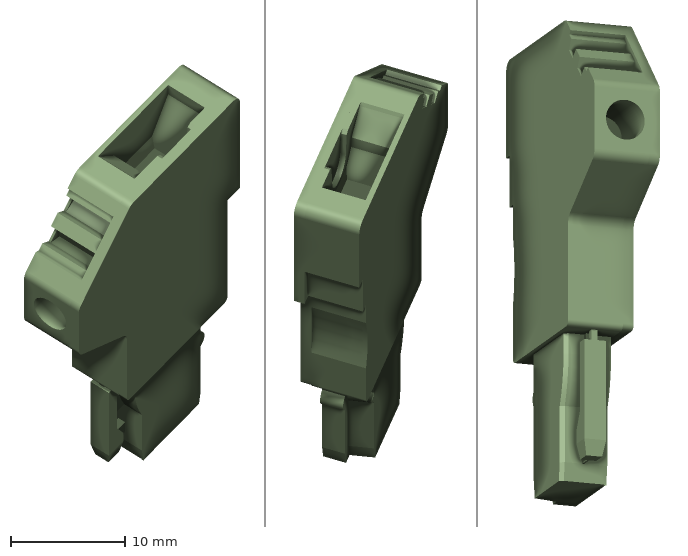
import cadquery as cq
import math


housing_thickness = 5.1
cover_thickness = 1.0
depth = 22.9
height = 27.83
corner_radius = 1.0
bottom_radius = 0.5
cover_bottom_gap = 0.1

neck_front = 6.82
neck_back = 21.14
nose_top = 20.4
nose_bottom = 13.72
underside_angle = 30.0
slope_top = height - nose_top
neck_top = nose_bottom - neck_front * math.tan(math.radians(underside_angle))
head_bottom = 14.43
back_step = 21.95
back_step_top = 19.12

scoop_center = 8.45
scoop_half_length = 3.3
scoop_depth = 0.4

grip_start = 1.78
grip_length = 6.4
grip_depth = 0.45
grip_groove_depth = 1.5
grip_groove_mouth = 1.72
grip_groove_floor = 1.34
grip_first_groove = 1.58
grip_pitch = 3.08
grip_sump_drops = (0.0, 1.0)
grip_sump_left = 0.25
grip_sump_depth = 0.4
grip_end_slant = 0.2

hole_diameter = 3.6
hole_x = 2.88
hole_z = 17.18
hole_depth = 6.0

pocket_left = 0.5
pocket_right = 4.58
pocket_back = 19.86
pocket_front = 9.86
pocket_wall = 1.34
pocket_floor_depth = 5.75
pocket_floor_back = 17.1
pocket_floor_front = 14.2
pocket_step_low_y = 12.32
pocket_step_high_y = 12.18
pocket_step_low = 3.5
pocket_step_high = 2.3
pocket_lip_y = 10.1
pocket_lip_depth = 0.3
floor_left = 1.15
floor_right = 4.29
side_slope_height = 0.75

window_center_y = 15.45
window_mouth_half = 2.35
window_mouth_depth = 0.3
window_top_half = 1.95
window_half = 1.75
window_spring_depth = 2.8

foot_left = 0.6
foot_front_shoulder = 0.98
foot_back_shoulder = 2.8
foot_right = 4.94
foot_bottom = -13.09
foot_taper_top = -11.45
foot_back = 18.82
foot_curve_top = -1.84
foot_curve_bottom = -6.35
foot_front_upper = 9.45
foot_front_lower = 10.42
foot_taper = 0.25
foot_root = 0.5
face_back = 17.4
shoulder_back = 17.9
face_front_inset = 0.24
bump_z = -4.05
bump_half = 0.98
bump_height = 0.54
face_bump_half = 0.75
face_bump_height = 0.3
curve_bulge = 0.26

lip_bottom = -13.17
lip_size = 0.2

rib_front = 8.93
rib_bottom = -6.38
rib_radius = 0.4

latch_x = 2.705
latch_width = 2.03
latch_front = 7.31
latch_back = 8.48
latch_top = -0.99
latch_slant_top = -7.27
latch_slant_bottom = -8.86
latch_heel = 9.4
latch_bend = -10.0
latch_bottom = -11.45
latch_taper = 0.28
stem_width = 0.55
stem_front = 7.55
stem_back = 8.23
bridge_width = 0.75


def rounded_outline(corners, x_start):
    """Closed outline in the YZ plane from (y, z, radius) corners, rounded with tangent arcs."""
    outline = None
    count = len(corners)
    for i, (y, z, radius) in enumerate(corners):
        corner = cq.Vector(y, z)
        before = (cq.Vector(*corners[i - 1][:2]) - corner).normalized()
        after = (cq.Vector(*corners[(i + 1) % count][:2]) - corner).normalized()
        half_angle = before.getAngle(after) / 2
        tangent_length = radius / math.tan(half_angle)
        start = corner + before * tangent_length
        end = corner + after * tangent_length
        bisector = (before + after).normalized()
        middle = corner + bisector * (radius / math.sin(half_angle) - radius)
        if outline is None:
            outline = cq.Workplane("YZ", origin=(x_start, 0, 0)).moveTo(start.x, start.y)
        else:
            outline = outline.lineTo(start.x, start.y)
        if radius > 0:
            outline = outline.threePointArc((middle.x, middle.y), (end.x, end.y))
    return outline.close()


def shell_corners(bottom, back_corners):
    """Outline shared by housing and cover; only the bottom and the back edge differ."""
    return [
        (neck_front, bottom, bottom_radius),
        (neck_front, neck_top, corner_radius),
        (0, nose_bottom, corner_radius),
        (0, nose_top, corner_radius),
        (slope_top, height, corner_radius),
        (depth, height, corner_radius),
        *back_corners,
        (neck_back, bottom, bottom_radius),
    ]


def prism(points, x_start, x_end):
    """Straight-sided YZ outline extruded along X."""
    return cq.Workplane("YZ", origin=(x_start, 0, 0)).polyline(points).close().extrude(x_end - x_start)


def make_cover():
    back = [(depth, head_bottom, 0), (neck_back, head_bottom, 0)]
    corners = shell_corners(cover_bottom_gap, back)
    return rounded_outline(corners, housing_thickness).extrude(cover_thickness)


def make_shell():
    back = [
        (depth, back_step_top, 0),
        (back_step, back_step_top, 0),
        (back_step, head_bottom, 0),
        (neck_back, head_bottom, 0),
    ]
    shell = rounded_outline(shell_corners(0, back), 0).extrude(housing_thickness)
    scoop = (
        cq.Workplane("YZ")
        .moveTo(neck_back, scoop_center - scoop_half_length)
        .threePointArc((neck_back - scoop_depth, scoop_center), (neck_back, scoop_center + scoop_half_length))
        .close()
        .extrude(housing_thickness)
    )
    return shell.cut(scoop)


diagonal = math.sqrt(0.5)


def slope_point(along, below):
    """Point on the YZ plane, measured down the nose slope and inward from it."""
    return (slope_top - (along - below) * diagonal, height - (along + below) * diagonal)


def make_groove(center):
    """Groove that widens from its floor to the grip recess."""
    half_mouth = grip_groove_mouth / 2
    half_floor = grip_groove_floor / 2
    groove = [
        slope_point(center - half_mouth, grip_depth),
        slope_point(center - half_floor, grip_groove_depth),
        slope_point(center + half_floor, grip_groove_depth),
        slope_point(center + half_mouth, grip_depth),
    ]
    return prism(groove, 0, housing_thickness)


def make_sump(center, drop):
    """Deeper part of a groove floor, with an optional straight drop in Z along its back."""
    start = center - grip_groove_floor / 2
    end = center + grip_groove_floor / 2
    below = grip_groove_depth + grip_sump_depth
    sump = [slope_point(start, grip_groove_depth), slope_point(start, below)]
    if drop > 0:
        sump.append(slope_point(start + drop * diagonal, below + drop * diagonal))
    sump.append(slope_point(end, grip_groove_depth))
    return prism(sump, grip_sump_left, housing_thickness)


def make_grip_cut():
    grip_end = grip_start + grip_length
    recess = [
        slope_point(grip_start, 0),
        slope_point(grip_start, grip_depth),
        slope_point(grip_end - grip_end_slant, grip_depth),
        slope_point(grip_end, 0),
    ]
    cut = prism(recess, 0, housing_thickness)
    for i, drop in enumerate(grip_sump_drops):
        center = grip_start + grip_first_groove + i * grip_pitch
        cut = cut.union(make_groove(center)).union(make_sump(center, drop))
    return cut


def make_wire_hole():
    hole_face = cq.Workplane("XZ", origin=(hole_x, 0, hole_z))
    return hole_face.circle(hole_diameter / 2).extrude(-hole_depth)


def make_pocket():
    floor = height - pocket_floor_depth
    funnel = prism(
        [
            (pocket_back, height),
            (pocket_back, height - pocket_wall),
            (pocket_floor_back, floor),
            (pocket_floor_front, floor),
            (pocket_step_low_y, height - pocket_step_low),
            (pocket_step_high_y, height - pocket_step_high),
            (pocket_lip_y, height - pocket_lip_depth),
            (pocket_front, height),
        ],
        pocket_left,
        pocket_right,
    )
    slope_top_z = floor + side_slope_height
    for wall, foot in ((pocket_left, floor_left), (pocket_right, floor_right)):
        side = (
            cq.Workplane("XZ", origin=(0, pocket_front, 0))
            .polyline([(wall, floor), (foot, floor), (wall, slope_top_z)])
            .close()
            .extrude(pocket_front - pocket_back)
        )
        funnel = funnel.cut(side)
    return funnel


def make_window():
    spring = height - window_spring_depth
    return (
        cq.Workplane("YZ", origin=(pocket_right, 0, 0))
        .moveTo(window_center_y - window_mouth_half, height)
        .lineTo(window_center_y - window_top_half, height - window_mouth_depth)
        .lineTo(window_center_y - window_half, spring)
        .threePointArc((window_center_y, spring - window_half), (window_center_y + window_half, spring))
        .lineTo(window_center_y + window_top_half, height - window_mouth_depth)
        .lineTo(window_center_y + window_mouth_half, height)
        .close()
        .extrude(housing_thickness - pocket_right)
    )


def foot_outline(plane, back, front_inset, half_bump, bump):
    """Foot section: bumped back edge, curved-in front edge, tapered tip."""
    upper = foot_front_upper + front_inset
    lower = foot_front_lower + front_inset
    curve_middle = ((upper + lower) / 2 - curve_bulge, (foot_curve_top + foot_curve_bottom) / 2)
    return (
        plane.moveTo(back, foot_root)
        .lineTo(back, bump_z + half_bump)
        .threePointArc((back + bump, bump_z), (back, bump_z - half_bump))
        .lineTo(back, foot_taper_top)
        .lineTo(back - foot_taper, foot_bottom)
        .lineTo(lower + foot_taper, foot_bottom)
        .lineTo(lower, foot_taper_top)
        .lineTo(lower, foot_curve_bottom)
        .threePointArc(curve_middle, (upper, foot_curve_top))
        .lineTo(upper, foot_root)
        .close()
    )


def raised_layer(x_position, front_inset):
    """Section of the raised face, whose back edge leans out linearly from face to back shoulder."""
    lean = (shoulder_back - face_back) * (x_position - foot_left) / (foot_back_shoulder - foot_left)
    plane = cq.Workplane("YZ", origin=(x_position, 0, 0))
    outline = foot_outline(plane, face_back + lean, front_inset, face_bump_half, face_bump_height)
    return outline.val()


def make_foot():
    core_plane = cq.Workplane("YZ", origin=(foot_back_shoulder, 0, 0))
    core_outline = foot_outline(core_plane, foot_back, 0, bump_half, bump_height)
    core = core_outline.extrude(foot_right - foot_back_shoulder)
    face = raised_layer(foot_left, face_front_inset)
    front_shoulder = raised_layer(foot_front_shoulder, 0)
    back_shoulder = raised_layer(foot_back_shoulder, 0)
    raised_front = cq.Workplane(cq.Solid.makeLoft([face, front_shoulder], True))
    raised_back = cq.Workplane(cq.Solid.makeLoft([front_shoulder, back_shoulder], True))

    lip_front = foot_front_lower + foot_taper
    lip = prism(
        [(lip_front, foot_bottom), (lip_front, lip_bottom), (lip_front + lip_size, foot_bottom)],
        foot_right - lip_size,
        foot_right,
    )
    rib_corners = [
        (rib_front, foot_root, 0),
        (rib_front, rib_bottom, rib_radius),
        (foot_front_lower + foot_taper, rib_bottom, 0),
        (foot_front_lower + foot_taper, foot_root, 0),
    ]
    rib = rounded_outline(rib_corners, latch_x - stem_width / 2).extrude(stem_width)
    return core.union(raised_back).union(raised_front).union(lip).union(rib)


def side_taper_cut(width):
    """Two wedges that narrow a tip of the given width in X below the latch bend."""
    wedges = cq.Workplane("XZ")
    for side in (-1, 1):
        outer = latch_x + side * width / 2
        inner = outer - side * latch_taper
        wedges = wedges.polyline([(outer, latch_bend), (outer, latch_bottom), (inner, latch_bottom)]).close()
    return wedges.extrude(-depth)


def make_latch():
    arm = prism(
        [
            (latch_front, latch_top),
            (latch_back, latch_top),
            (latch_back, latch_slant_top),
            (latch_heel, latch_slant_bottom),
            (latch_heel, latch_bend),
            (latch_heel - latch_taper, latch_bottom),
            (latch_front + latch_taper, latch_bottom),
            (latch_front, latch_bend),
        ],
        latch_x - latch_width / 2,
        latch_x + latch_width / 2,
    ).cut(side_taper_cut(latch_width))
    stem = prism(
        [(stem_front, latch_top), (stem_back, latch_top), (stem_back, foot_root), (stem_front, foot_root)],
        latch_x - stem_width / 2,
        latch_x + stem_width / 2,
    )
    bridge_front = latch_back
    bridge_back = foot_front_lower + foot_taper
    bridge = prism(
        [
            (bridge_front, latch_slant_bottom),
            (bridge_back, latch_slant_bottom),
            (bridge_back, latch_bottom),
            (bridge_front, latch_bottom),
        ],
        latch_x - bridge_width / 2,
        latch_x + bridge_width / 2,
    ).cut(side_taper_cut(bridge_width))
    return arm.union(stem).union(bridge)


def make_housing():
    body = make_shell().cut(make_grip_cut()).cut(make_wire_hole()).cut(make_pocket()).cut(make_window())
    return body.union(make_foot()).union(make_latch())


housing = make_housing()
cover = make_cover()

result = cq.Compound.makeCompound([housing.val(), cover.val()])